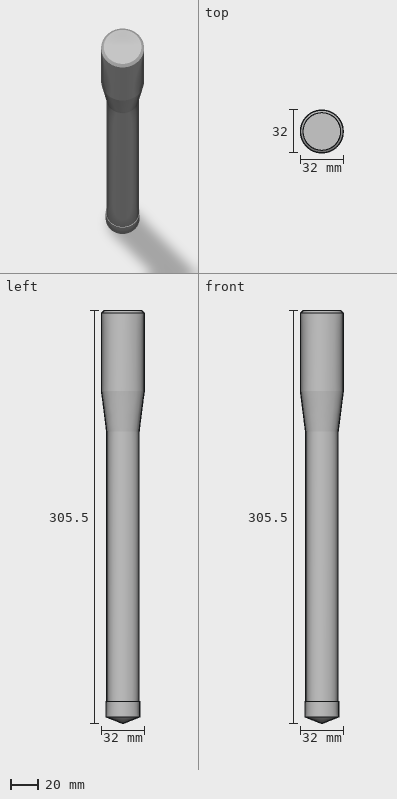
import cadquery as cq

total_height = 305.5

grip_radius = 16.0
grip_chamfer = 2.0
grip_length = 60.0
taper_length = 30.0
shaft_radius = 24.0 / 2

tip_radius = 12.5
point_height = 5.0
tip_height = 16.2

grip_bottom = total_height - grip_length
taper_bottom = grip_bottom - taper_length


def revolve_about_z(profile):
    """Solid of revolution from a list of (radius, height) points."""
    return cq.Workplane("XZ").polyline(profile).close().revolve(360, (0, 0), (0, 1))


def make_holder():
    """Grip, taper and shaft, resting on the flat top of the tip."""
    return revolve_about_z([
        (0, tip_height),
        (shaft_radius, tip_height),
        (shaft_radius, taper_bottom),
        (grip_radius, grip_bottom),
        (grip_radius, total_height - grip_chamfer),
        (grip_radius - grip_chamfer, total_height),
        (0, total_height),
    ])


def make_tip():
    """Cylindrical tip with a shallow conical point."""
    return revolve_about_z([
        (0, 0),
        (tip_radius, point_height),
        (tip_radius, tip_height),
        (0, tip_height),
    ])


holder = make_holder()
tip = make_tip()

result = cq.Compound.makeCompound([holder.val(), tip.val()])